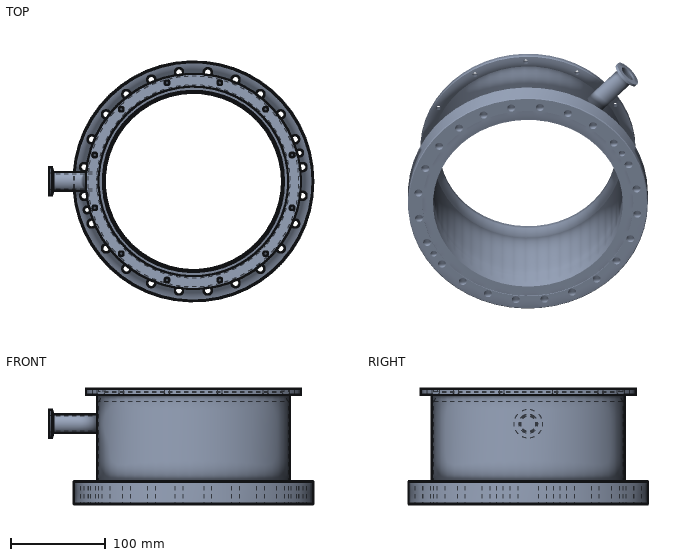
import cadquery as cq
import math

total_height = 122.0
vessel_inner_diameter = 200.0
vessel_outer_diameter = 204.0

base_diameter = 253.0
base_height = 24.5
base_chamfer = 0.8
seal_recess_diameter = 222.2
seal_recess_depth = 0.8
base_bolt_count = 24
base_bolt_diameter = 8.4
base_bolt_circle = 232.0
base_bolt_pitch = 360 / base_bolt_count
leak_hole_diameter = 6.7
leak_hole_angle = 15
leak_hole_count = 2

top_flange_diameter = 227.0
top_flange_thickness = 6.7
throat_diameter = 187.0
throat_length = 4.2
taper_length = 9.5
groove_inner_diameter = 191.0
groove_outer_diameter = vessel_inner_diameter
groove_depth = 3.0
top_bolt_count = 12
top_bolt_diameter = 5.0
top_bolt_circle = 215.3
top_bolt_pitch = 360 / top_bolt_count

nozzle_height = 85.0
nozzle_overall_x = 278.5
nozzle_tip_x = base_diameter / 2 - nozzle_overall_x
nozzle_tube_diameter = 20.0
nozzle_bore_diameter = 16.0
nozzle_rim_diameter = 30.0
nozzle_rim_thickness = 2.8
nozzle_cone_length = 1.7
nozzle_recess_diameter = 17.3
nozzle_recess_depth = 2.5


def hole_ring(diameter, bolt_circle, count, start_angle, bottom, height):
    """Vertical cutting cylinders spaced evenly on a bolt circle."""
    return (
        cq.Workplane("XY", origin=(0, 0, bottom))
        .polarArray(bolt_circle / 2, start_angle, 360, count)
        .circle(diameter / 2)
        .extrude(height)
    )


def make_base_flange():
    """Thick bolted ring with broken outer edges, a shallow seal recess below and two leak-check holes."""
    ring = (
        cq.Workplane("XY")
        .circle(base_diameter / 2)
        .extrude(base_height)
        .edges()
        .chamfer(base_chamfer)
    )
    bore = cq.Workplane("XY").circle(vessel_inner_diameter / 2).extrude(base_height)
    seal_recess = cq.Workplane("XY").circle(seal_recess_diameter / 2).extrude(seal_recess_depth)
    bolts = hole_ring(
        base_bolt_diameter, base_bolt_circle, base_bolt_count, base_bolt_pitch / 2, 0, base_height
    )
    leak_holes = hole_ring(
        leak_hole_diameter, base_bolt_circle, leak_hole_count, leak_hole_angle, 0, base_height
    )
    return ring.cut(bore).cut(seal_recess).cut(bolts).cut(leak_holes)


def make_housing():
    """Cylindrical wall standing on the base flange, in one piece with the top flange."""
    flange_bottom = total_height - top_flange_thickness
    throat_bottom = total_height - throat_length
    taper_bottom = throat_bottom - taper_length
    section = [
        (vessel_inner_diameter / 2, base_height),
        (vessel_outer_diameter / 2, base_height),
        (vessel_outer_diameter / 2, flange_bottom),
        (top_flange_diameter / 2, flange_bottom),
        (top_flange_diameter / 2, total_height),
        (throat_diameter / 2, total_height),
        (throat_diameter / 2, throat_bottom),
        (vessel_inner_diameter / 2, taper_bottom),
    ]
    body = cq.Workplane("XZ").polyline(section).close().revolve(360, (0, 0), (0, 1))
    groove = (
        cq.Workplane("XY", origin=(0, 0, total_height - groove_depth))
        .circle(groove_outer_diameter / 2)
        .circle(groove_inner_diameter / 2)
        .extrude(groove_depth)
    )
    bolts = hole_ring(
        top_bolt_diameter,
        top_bolt_circle,
        top_bolt_count,
        top_bolt_pitch / 2,
        flange_bottom,
        top_flange_thickness,
    )
    return body.cut(groove).cut(bolts)


def make_nozzle():
    """Clamp-flanged tube whose end is shaped to sit on the unpierced vessel wall."""
    wall_radius = vessel_outer_diameter / 2
    tube_radius = nozzle_tube_diameter / 2
    tube_end_x = -math.sqrt(wall_radius**2 - tube_radius**2)
    rim_back_x = nozzle_tip_x + nozzle_rim_thickness
    cone_end_x = rim_back_x + nozzle_cone_length
    recess_end_x = nozzle_tip_x + nozzle_recess_depth
    section = [
        (nozzle_tip_x, nozzle_recess_diameter / 2),
        (nozzle_tip_x, nozzle_rim_diameter / 2),
        (rim_back_x, nozzle_rim_diameter / 2),
        (cone_end_x, tube_radius),
        (tube_end_x, tube_radius),
        (tube_end_x, nozzle_bore_diameter / 2),
        (recess_end_x, nozzle_bore_diameter / 2),
        (recess_end_x, nozzle_recess_diameter / 2),
    ]
    tube = (
        cq.Workplane("XZ", origin=(0, 0, nozzle_height))
        .polyline(section)
        .close()
        .revolve(360, (0, 0), (1, 0))
    )
    vessel_envelope = cq.Workplane("XY").circle(wall_radius).extrude(total_height)
    return tube.cut(vessel_envelope)


base_flange = make_base_flange()
housing = make_housing()
nozzle = make_nozzle()

result = cq.Compound.makeCompound([base_flange.val(), housing.val(), nozzle.val()])